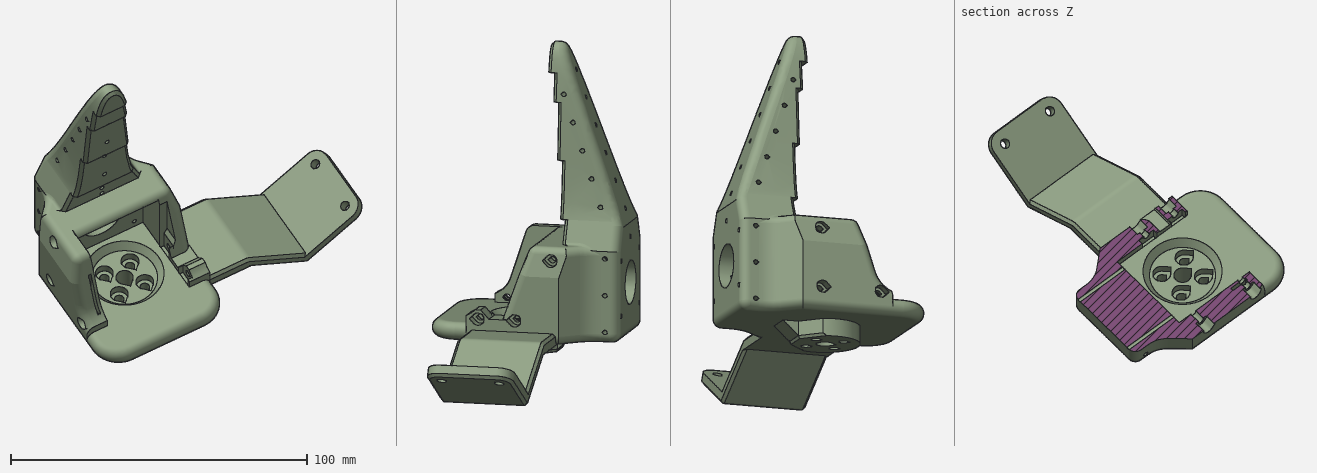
import cadquery as cq
import math

TOLERANCE = 0.01
SELECT_MARGIN = 0.1

FRONT_X = -35.2
REAR_X = 30.0
HALF_WIDTH = 24.0
PLATE_THICKNESS = 6.0
PLATE_CORNER_RADIUS = 10.0
EDGE_RADIUS = 3.0

NECK_HALF_WIDTH = 16.0
FLARE_START_X = FRONT_X + 10.0
FLARE_END_X = FRONT_X + 19.0
FLARE_RADIUS = 10.0

HOUSING_TOP = 33.0
ROOF_THICKNESS = 1.7
CAVITY_TOP = HOUSING_TOP - ROOF_THICKNESS
CAVITY_HALF_WIDTH = 16.0
CAVITY_FRONT_X = FRONT_X + 20.0
WALL_REAR_X = 16.0
TAPER_START_Z = 23.2
TAPER_ANGLE = 15.0
NEAR_REAR_SLOPE = 1.0 / 3.0
FAR_REAR_SLOPE = math.tan(math.radians(20.0))
NEAR_WALL_TOP_X = 4.5
FAR_WALL_TOP_X = -5.3
FOOT_RADIUS = 10.0
FOOT_LOWEST_Z = 8.1
SILL_TOP = 8.0
LUG_FRONT_X = 8.1
LUG_FLAT_FRONT_X = 11.0
LUG_FLAT_REAR_X = 12.9

FIN_TOP = 100.0
FIN_BREAK_Z = 41.0
FIN_BREAK_HALF_WIDTH = 11.8
FIN_SIDE_ANGLE = 24.0
FIN_LEAN_START_Z = 39.0
FIN_LEAN_ANGLE = 20.0
FIN_SHOULDER_PULL = 10.1
FIN_WAIST_POINT = (8.32, 88.3)
FIN_TIP_PULL = 6.02
FIN_STEP_PITCH = (FIN_TOP - FIN_BREAK_Z) / 3.0
FIN_BACK_STEP = 1.73
FIN_TIP_BACK_STEP = 2.1
FIN_STEPS = [
    (FIN_STEP_PITCH, FIN_BACK_STEP),
    (FIN_STEP_PITCH, FIN_BACK_STEP),
    (FIN_STEP_PITCH / 2, FIN_BACK_STEP),
    (FIN_STEP_PITCH / 2, FIN_TIP_BACK_STEP),
]
FIN_BACK_CHAMFER = 1.1
BLEND_RADIUS = 1.5
SHOULDER_SLOPE = math.tan(math.radians(FIN_SIDE_ANGLE))
SHOULDER_Z = FIN_BREAK_Z - (NECK_HALF_WIDTH - FIN_BREAK_HALF_WIDTH) / SHOULDER_SLOPE

THREAD_HOLE_DIAMETER = 1.5
THREAD_HOLE_PITCH = 10.0
FACE_HOLE_FIRST_Z = 43.7
FACE_HOLE_COUNT = 6
FACE_HOLE_DEPTH = 30.0
SIDE_HOLE_FIRST = (-27.4, 45.6)
SIDE_HOLE_COUNT = 5
NECK_HOLE_X = -30.3
NECK_HOLE_HEIGHTS = [3.75, 16.4, 29.05]
FRONT_HOLE_HALF_SPACING = 12.65
FRONT_HOLE_HEIGHTS = [8.9, 27.9]
FRONT_TOP_HOLE_Z = 34.0
BORE_DIAMETER = 15.0
BORE_Z = 18.3

WALL_HOLE_DIAMETER = 2.2
WALL_HEAD_DIAMETER = 4.2
WALL_HEAD_DEPTH = 4.0
NEAR_WALL_SCREWS = [(-9.1, 28.7), (-9.1, 7.85), (11.8, 7.85)]
FAR_WALL_TOP_SCREW = (-13.1, 28.7)
FAR_WALL_NUT_SCREWS = [(-0.85, 7.85), (11.95, 7.85)]
NUT_WIDTH = 6.3
NUT_DEPTH = 1.7
NUT_BOTTOM_Z = 4.7
NUT_RAMP_Z = 12.0
NUT_RAMP_RISE = 2.0
NUT_RAMP_DEPTH = 2.9
NEAR_NUT_CENTRE_X = 10.1
NEAR_NUT_START_DEPTH = 1.1
NEAR_NUT_THICKNESS = 1.0

SEAT_TOP_RADIUS = 13.35
SEAT_FLOOR_RADIUS = 11.15
SEAT_FLOOR_Z = 3.5
DISC_CENTRE_DIAMETER = 5.8
DISC_HOLE_DIAMETER = 3.2
DISC_HEAD_DIAMETER = 6.0
DISC_HEAD_DEPTH = 3.0
DISC_HOLE_OFFSET = 5.0
BOSS_RADIUS = 12.0
BOSS_DEPTH = 6.0
BOSS_FLAT_REACH = 15.6
BOSS_WEDGE_HALF_WIDTH = 4.6
BOSS_WEDGE_FRONT_X = -16.5
BOSS_CHAMFER_HEIGHT = 1.0
BOSS_CHAMFER_WIDTH = 0.5

ARM_HALF_WIDTH = 15.0
ARM_THICKNESS = 4.0
ARM_BEND_ANGLE = 30.0
ARM_BEND_Y = 39.9
ARM_VALLEY_Y = 62.55
ARM_TIP_Y = 84.44
ARM_ROOT_Y = 20.0
ARM_CHAMFER = 1.0
ARM_BEND_RADIUS = 4.0
ARM_VALLEY_RADIUS = 2.0
ARM_CORNER_RADIUS = 5.0
ARM_HOLE_DIAMETER = 3.2
ARM_HOLE_HALF_SPACING = 10.0
ARM_HOLE_FROM_TIP = 4.9
ARM_HOLE_OVERSHOOT = 1.0
ALONG_LEG_MIN = 0.8


def box(x0, x1, y0, y1, z0, z1):
    return cq.Workplane("XY").box(x1 - x0, y1 - y0, z1 - z0, centered=False).translate((x0, y0, z0))


def teardrop(diameter, length):
    """Prism along +Z from the origin: a round hole with a 45-degree point toward +X."""
    radius = diameter / 2
    tangent = radius * math.sqrt(0.5)
    return (
        cq.Workplane("XY")
        .moveTo(tangent, tangent)
        .threePointArc((-radius, 0), (tangent, -tangent))
        .lineTo(radius * math.sqrt(2), 0)
        .close()
        .extrude(length)
    )


def teardrop_along_y(diameter, x, z, y0, y1):
    return teardrop(diameter, y1 - y0).rotate((0, 0, 0), (1, 0, 0), -90).translate((x, y0, z))


def rod(diameter, start, direction, length):
    cylinder = cq.Solid.makeCylinder(diameter / 2, length, cq.Vector(*start), cq.Vector(*direction))
    return cq.Workplane(cylinder)


def xz_prism(outline, y0, y1):
    """Extrude an outline given in X and Z from y0 to y1."""
    return outline.extrude(-(y1 - y0)).translate((0, y0, 0))


def flared_plan(rear_x):
    """Plan outline of the flare and the housing, ending square at rear_x."""
    flare_angle = math.atan2(HALF_WIDTH - NECK_HALF_WIDTH, FLARE_END_X - FLARE_START_X)
    tangent = FLARE_RADIUS * math.tan(flare_angle / 2)
    arc_start_x = FLARE_START_X - tangent
    arc_end_x = FLARE_START_X + tangent * math.cos(flare_angle)
    arc_end_y = NECK_HALF_WIDTH + tangent * math.sin(flare_angle)
    arc_mid_x = arc_start_x + FLARE_RADIUS * math.sin(flare_angle / 2)
    arc_mid_y = NECK_HALF_WIDTH + FLARE_RADIUS * (1 - math.cos(flare_angle / 2))
    return (
        cq.Workplane("XY")
        .moveTo(arc_start_x, -NECK_HALF_WIDTH)
        .threePointArc((arc_mid_x, -arc_mid_y), (arc_end_x, -arc_end_y))
        .lineTo(FLARE_END_X, -HALF_WIDTH)
        .lineTo(rear_x, -HALF_WIDTH)
        .lineTo(rear_x, HALF_WIDTH)
        .lineTo(FLARE_END_X, HALF_WIDTH)
        .lineTo(arc_end_x, arc_end_y)
        .threePointArc((arc_mid_x, arc_mid_y), (arc_start_x, NECK_HALF_WIDTH))
        .close()
    )


def foot_arc_start_and_centre():
    """Start and centre (X, Z) of the concave arc at the foot of the near wall's rear slope."""
    slope_angle = math.atan(NEAR_REAR_SLOPE)
    centre_z = FOOT_LOWEST_Z + FOOT_RADIUS
    start_z = centre_z - FOOT_RADIUS * math.sin(slope_angle)
    start_x = NEAR_WALL_TOP_X + (HOUSING_TOP - start_z) * NEAR_REAR_SLOPE
    centre_x = start_x + FOOT_RADIUS * math.cos(slope_angle)
    return (start_x, start_z), (centre_x, centre_z)


def foot_arc_z(x):
    centre_x, centre_z = foot_arc_start_and_centre()[1]
    return centre_z - math.sqrt(FOOT_RADIUS**2 - (centre_x - x) ** 2)


def foot_arc_from(outline, start_x):
    """Continue an XZ outline along the foot arc from start_x to the rear end of the wall."""
    mid_x = (start_x + WALL_REAR_X) / 2
    return outline.threePointArc((mid_x, foot_arc_z(mid_x)), (WALL_REAR_X, foot_arc_z(WALL_REAR_X)))


def taper_waste(side):
    """Material outside the inward-leaning upper part of one side wall."""
    width = (HOUSING_TOP - TAPER_START_Z) * math.tan(math.radians(TAPER_ANGLE))
    return (
        cq.Workplane("YZ")
        .moveTo(side * HALF_WIDTH, TAPER_START_Z)
        .lineTo(side * (HALF_WIDTH - width), HOUSING_TOP)
        .lineTo(side * HALF_WIDTH, HOUSING_TOP)
        .close()
        .extrude(WALL_REAR_X - FRONT_X)
        .translate((FRONT_X, 0, 0))
    )


def housing_block():
    """Solid housing with its tapered sides, sloped rear and rounded top edges."""
    block = flared_plan(WALL_REAR_X).extrude(HOUSING_TOP)
    for side in (-1, 1):
        block = block.cut(taper_waste(side))

    arc_start = foot_arc_start_and_centre()[0]
    near_cut = cq.Workplane("XZ").moveTo(NEAR_WALL_TOP_X, HOUSING_TOP).lineTo(*arc_start)
    near_cut = foot_arc_from(near_cut, arc_start[0]).lineTo(WALL_REAR_X, HOUSING_TOP).close()
    block = block.cut(xz_prism(near_cut, -HALF_WIDTH, -CAVITY_HALF_WIDTH))

    far_foot_x = FAR_WALL_TOP_X + (HOUSING_TOP - PLATE_THICKNESS) * FAR_REAR_SLOPE
    far_cut = (
        cq.Workplane("XZ")
        .moveTo(FAR_WALL_TOP_X, HOUSING_TOP)
        .lineTo(far_foot_x, PLATE_THICKNESS)
        .lineTo(WALL_REAR_X, PLATE_THICKNESS)
        .lineTo(WALL_REAR_X, HOUSING_TOP)
        .close()
    )
    block = block.cut(xz_prism(far_cut, -CAVITY_HALF_WIDTH, HALF_WIDTH))

    def is_rounded(edge):
        centre = edge.Center()
        bounds = edge.BoundingBox()
        if bounds.zmin > HOUSING_TOP - TOLERANCE:
            along_cavity = abs(centre.y + CAVITY_HALF_WIDTH) < TOLERANCE
            across_front = bounds.xmax < FLARE_START_X - SELECT_MARGIN and abs(centre.y) < 1
            return not along_cavity and not across_front
        return (
            bounds.zmin > PLATE_THICKNESS - TOLERANCE
            and bounds.xmin > FAR_WALL_TOP_X - SELECT_MARGIN
            and min(bounds.xlen, bounds.zlen) > EDGE_RADIUS / 4
            and abs(centre.y) > CAVITY_HALF_WIDTH + EDGE_RADIUS
        )

    edges = [edge for edge in block.edges().vals() if is_rounded(edge)]
    return block.newObject(edges).fillet(EDGE_RADIUS)


def far_wall_foot():
    """Sill and screw lug at the foot of the far wall."""
    lug_top = foot_arc_z(LUG_FLAT_REAR_X)
    outline = (
        cq.Workplane("XZ")
        .moveTo(FAR_WALL_TOP_X, EDGE_RADIUS)
        .lineTo(FAR_WALL_TOP_X, SILL_TOP)
        .lineTo(LUG_FRONT_X, SILL_TOP)
        .lineTo(LUG_FLAT_FRONT_X, lug_top)
        .lineTo(LUG_FLAT_REAR_X, lug_top)
    )
    outline = foot_arc_from(outline, LUG_FLAT_REAR_X).lineTo(WALL_REAR_X, EDGE_RADIUS).close()
    return xz_prism(outline, CAVITY_HALF_WIDTH, HALF_WIDTH)


def plate():
    """Rear part of the base plate with a half-round rim."""
    radius = PLATE_THICKNESS / 2
    path_y = HALF_WIDTH - radius
    path_x = REAR_X - radius
    corner = PLATE_CORNER_RADIUS - radius
    slab = box(WALL_REAR_X, path_x, -path_y, path_y, 0, PLATE_THICKNESS)
    slab = slab.edges("|Z and >X").fillet(corner)
    path = (
        cq.Workplane("XY")
        .moveTo(WALL_REAR_X, -path_y)
        .lineTo(path_x - corner, -path_y)
        .tangentArcPoint((path_x, corner - path_y), relative=False)
        .lineTo(path_x, path_y - corner)
        .tangentArcPoint((path_x - corner, path_y), relative=False)
        .lineTo(WALL_REAR_X, path_y)
    )
    rim = (
        cq.Workplane("YZ", origin=(WALL_REAR_X, 0, 0))
        .moveTo(-path_y, 0)
        .threePointArc((-HALF_WIDTH, radius), (-path_y, PLATE_THICKNESS))
        .close()
        .sweep(path)
    )
    return slab.union(rim)


def fin_outline():
    """Front outline in Y and Z: vertical sides, sloped shoulders and the pointed fin."""
    shoulder_angle = math.radians(FIN_SIDE_ANGLE)
    shoulder_z = FIN_BREAK_Z - (HALF_WIDTH - FIN_BREAK_HALF_WIDTH) / SHOULDER_SLOPE
    pull_y = FIN_BREAK_HALF_WIDTH - FIN_SHOULDER_PULL * math.sin(shoulder_angle)
    pull_z = FIN_BREAK_Z + FIN_SHOULDER_PULL * math.cos(shoulder_angle)
    left_curve = [
        (FIN_BREAK_HALF_WIDTH, FIN_BREAK_Z),
        (pull_y, pull_z),
        FIN_WAIST_POINT,
        (FIN_TIP_PULL, FIN_TOP),
        (0, FIN_TOP),
    ]
    right_curve = [(-y, z) for y, z in reversed(left_curve)]
    return (
        cq.Workplane("YZ")
        .moveTo(-HALF_WIDTH, 0)
        .lineTo(HALF_WIDTH, 0)
        .lineTo(HALF_WIDTH, shoulder_z)
        .lineTo(FIN_BREAK_HALF_WIDTH, FIN_BREAK_Z)
        .bezier(left_curve)
        .bezier(right_curve)
        .lineTo(-HALF_WIDTH, shoulder_z)
        .close()
    )


def lean_x(z):
    """X of the leaning front face at height z."""
    return FRONT_X + (z - FIN_LEAN_START_Z) * math.tan(math.radians(FIN_LEAN_ANGLE))


def leaning_fin(back_x):
    """Fin outline behind the leaning front face, with that face's rim rounded."""
    column = fin_outline().extrude(back_x - lean_x(0)).translate((lean_x(0), 0, 0))
    lean = (
        cq.Workplane("XZ")
        .moveTo(lean_x(0), 0)
        .lineTo(lean_x(2 * FIN_TOP), 2 * FIN_TOP)
        .lineTo(lean_x(0), 2 * FIN_TOP)
        .close()
    )
    column = column.cut(xz_prism(lean, -HALF_WIDTH, HALF_WIDTH))

    def is_rim(edge):
        points = (edge.startPoint(), edge.endPoint(), edge.positionAt(0.5))
        on_lean = all(abs(p.x - lean_x(p.z)) < TOLERANCE for p in points)
        return on_lean and edge.Center().z > FIN_BREAK_Z / 2

    rim = [edge for edge in column.edges().vals() if is_rim(edge)]
    return column.newObject(rim).fillet(EDGE_RADIUS)


def neck():
    """Straight front post under the leaning fin, with a rounded front rim and a chamfered back."""
    post = (
        cq.Workplane("YZ")
        .moveTo(-NECK_HALF_WIDTH, 0)
        .lineTo(NECK_HALF_WIDTH, 0)
        .lineTo(NECK_HALF_WIDTH, SHOULDER_Z)
        .lineTo(FIN_BREAK_HALF_WIDTH, FIN_BREAK_Z)
        .lineTo(-FIN_BREAK_HALF_WIDTH, FIN_BREAK_Z)
        .lineTo(-NECK_HALF_WIDTH, SHOULDER_Z)
        .close()
        .extrude(CAVITY_FRONT_X - FRONT_X)
        .translate((FRONT_X, 0, 0))
    )
    post = post.faces("<X").edges("not |Y").fillet(EDGE_RADIUS)
    return post.faces(">X").edges("not |Y").chamfer(FIN_BACK_CHAMFER)


def fin():
    """Neck and leaning fin; the fin's back steps rearward as it rises."""
    back_x = CAVITY_FRONT_X
    rear_x = back_x + sum(back_step for _, back_step in FIN_STEPS)
    blade = leaning_fin(rear_x)
    blade = blade.cut(box(lean_x(0), rear_x, -HALF_WIDTH, HALF_WIDTH, 0, FIN_BREAK_Z))
    bottom = FIN_BREAK_Z
    for height, back_step in FIN_STEPS:
        back_x += back_step
        top = bottom + height
        if back_x < rear_x - TOLERANCE:
            blade = blade.cut(box(back_x, rear_x, -HALF_WIDTH, HALF_WIDTH, bottom, top))
        rim = cq.selectors.BoxSelector(
            (back_x - SELECT_MARGIN, -HALF_WIDTH, bottom + SELECT_MARGIN),
            (back_x + SELECT_MARGIN, HALF_WIDTH, top + SELECT_MARGIN),
        )
        blade = blade.edges(rim).edges("not |Y").chamfer(FIN_BACK_CHAMFER)
        bottom = top
    foot = neck().intersect(leaning_fin(rear_x))
    return foot.union(blade)


def blend_shoulders(body):
    """Round the inside corner between the neck's sloped shoulders and the roof."""
    shoulder_y = FIN_BREAK_HALF_WIDTH + (FIN_BREAK_Z - HOUSING_TOP) * SHOULDER_SLOPE

    def is_inside_corner(edge):
        centre = edge.Center()
        return abs(centre.z - HOUSING_TOP) < TOLERANCE and abs(abs(centre.y) - shoulder_y) < TOLERANCE

    edges = [edge for edge in body.edges().vals() if is_inside_corner(edge)]
    return body.newObject(edges).fillet(BLEND_RADIUS)


def shell():
    """Neck, fin, housing, far wall foot and plate, rounded underneath and opened by the cavity."""
    body = blend_shoulders(fin().union(housing_block()))
    body = body.faces("<Z").edges("not >X").fillet(EDGE_RADIUS)
    body = body.union(plate()).union(far_wall_foot())
    cavity = box(
        CAVITY_FRONT_X,
        WALL_REAR_X,
        -CAVITY_HALF_WIDTH,
        CAVITY_HALF_WIDTH,
        PLATE_THICKNESS,
        CAVITY_TOP,
    )
    return body.cut(cavity)


def arm_point(y, z, along, across):
    """Point offset along the rising arm leg and across it (down through its thickness)."""
    bend = math.radians(ARM_BEND_ANGLE)
    return (
        y + along * math.cos(bend) + across * math.sin(bend),
        z + along * math.sin(bend) - across * math.cos(bend),
    )


def arm():
    """Flat strip bent down and back up, with two holes at its tip."""
    bend = math.radians(ARM_BEND_ANGLE)
    valley_z = ARM_THICKNESS - (ARM_VALLEY_Y - ARM_BEND_Y) * math.tan(bend)
    valley_bottom_z = valley_z - ARM_THICKNESS / math.cos(bend)
    tip_z = valley_z + (ARM_TIP_Y - ARM_VALLEY_Y) * math.tan(bend)
    bend_bottom_y = ARM_BEND_Y - ARM_THICKNESS * math.tan(bend / 2)
    strip = (
        cq.Workplane("YZ")
        .moveTo(ARM_ROOT_Y, 0)
        .lineTo(bend_bottom_y, 0)
        .lineTo(ARM_VALLEY_Y, valley_bottom_z)
        .lineTo(*arm_point(ARM_TIP_Y, tip_z, 0, ARM_THICKNESS))
        .lineTo(ARM_TIP_Y, tip_z)
        .lineTo(ARM_VALLEY_Y, valley_z)
        .lineTo(ARM_BEND_Y, ARM_THICKNESS)
        .lineTo(ARM_ROOT_Y, ARM_THICKNESS)
        .close()
        .extrude(2 * ARM_HALF_WIDTH)
        .translate((-ARM_HALF_WIDTH, 0, 0))
    )

    def edges_near(y, z):
        reach_x = ARM_HALF_WIDTH + 1
        return cq.selectors.BoxSelector(
            (-reach_x, y - SELECT_MARGIN, z - SELECT_MARGIN),
            (reach_x, y + SELECT_MARGIN, z + SELECT_MARGIN),
        )

    strip = strip.edges(edges_near(ARM_BEND_Y, ARM_THICKNESS)).fillet(ARM_BEND_RADIUS)
    strip = strip.edges(edges_near(ARM_VALLEY_Y, valley_bottom_z)).fillet(ARM_VALLEY_RADIUS)
    tip_corners = edges_near(*arm_point(ARM_TIP_Y, tip_z, 0, ARM_THICKNESS / 2))
    strip = strip.edges(tip_corners).edges("not |X").fillet(ARM_CORNER_RADIUS)

    def leg_middle_z(y):
        half = ARM_THICKNESS / 2
        bent_leg = valley_z - half / math.cos(bend) + abs(y - ARM_VALLEY_Y) * math.tan(bend)
        return bent_leg if y > ARM_VALLEY_Y else min(half, bent_leg)

    def is_chamfered(edge):
        centre = edge.Center()
        middle_z = leg_middle_z(centre.y)
        on_side = edge.BoundingBox().xlen < TOLERANCE and abs(centre.x) > ARM_HALF_WIDTH - TOLERANCE
        on_top = centre.y < ARM_VALLEY_Y - ARM_VALLEY_RADIUS and centre.z > middle_z + SELECT_MARGIN
        below = centre.y > bend_bottom_y + 1 and centre.z < middle_z - SELECT_MARGIN
        along_leg = edge.geomType() != "LINE" or abs(edge.tangentAt(0).y) > ALONG_LEG_MIN
        around_tip = not on_side and below and centre.y > ARM_VALLEY_Y + ARM_VALLEY_RADIUS
        return (on_side and along_leg and (on_top or below)) or around_tip

    edges = [edge for edge in strip.edges().vals() if is_chamfered(edge)]
    strip = strip.newObject(edges).chamfer(ARM_CHAMFER)

    hole_y, hole_z = arm_point(ARM_TIP_Y, tip_z, -ARM_HOLE_FROM_TIP, -ARM_HOLE_OVERSHOOT)
    down = (0, math.sin(bend), -math.cos(bend))
    hole_length = ARM_THICKNESS + 2 * ARM_HOLE_OVERSHOOT
    for x in (-ARM_HOLE_HALF_SPACING, ARM_HOLE_HALF_SPACING):
        strip = strip.cut(rod(ARM_HOLE_DIAMETER, (x, hole_y, hole_z), down, hole_length))
    return strip


def boss():
    """Round boss under the plate, flattened at 45 degrees in front, with a supporting wedge."""
    round_part = cq.Workplane("XY").circle(BOSS_RADIUS).extrude(-BOSS_DEPTH)
    flat_x = BOSS_FLAT_REACH - BOSS_WEDGE_HALF_WIDTH
    corners = [
        (-flat_x, -BOSS_WEDGE_HALF_WIDTH),
        (0, -BOSS_FLAT_REACH),
        (BOSS_FLAT_REACH, -BOSS_FLAT_REACH),
        (BOSS_FLAT_REACH, BOSS_FLAT_REACH),
        (0, BOSS_FLAT_REACH),
        (-flat_x, BOSS_WEDGE_HALF_WIDTH),
    ]
    envelope = cq.Workplane("XY").polyline(corners).close().extrude(-BOSS_DEPTH)
    envelope = envelope.faces("<Z").edges("<X or (not (|X or |Y))").chamfer(
        BOSS_CHAMFER_HEIGHT, BOSS_CHAMFER_WIDTH
    )
    wedge = (
        cq.Workplane("XZ")
        .moveTo(BOSS_WEDGE_FRONT_X, 0)
        .lineTo(-flat_x, -(BOSS_DEPTH - BOSS_CHAMFER_HEIGHT))
        .lineTo(-flat_x, 0)
        .close()
    )
    wedge = xz_prism(wedge, -BOSS_WEDGE_HALF_WIDTH, BOSS_WEDGE_HALF_WIDTH)
    return round_part.intersect(envelope).union(wedge)


def cut_disc_seat(body):
    """Conical seat in the plate with a centre hole and four screw holes through the boss."""
    seat = (
        cq.Workplane("XY")
        .workplane(offset=SEAT_FLOOR_Z)
        .circle(SEAT_FLOOR_RADIUS)
        .workplane(offset=PLATE_THICKNESS - SEAT_FLOOR_Z)
        .circle(SEAT_TOP_RADIUS)
        .loft()
    )
    body = body.cut(seat)
    through = SEAT_FLOOR_Z + BOSS_DEPTH
    body = body.cut(teardrop(DISC_CENTRE_DIAMETER, through).translate((0, 0, -BOSS_DEPTH)))
    for x in (-DISC_HOLE_OFFSET, DISC_HOLE_OFFSET):
        for y in (-DISC_HOLE_OFFSET, DISC_HOLE_OFFSET):
            hole = teardrop(DISC_HOLE_DIAMETER, through).translate((x, y, -BOSS_DEPTH))
            head = teardrop(DISC_HEAD_DIAMETER, DISC_HEAD_DEPTH)
            body = body.cut(hole).cut(head.translate((x, y, SEAT_FLOOR_Z - DISC_HEAD_DEPTH)))
    return body


def cut_thread_holes(body):
    """Small holes in the fin, the neck sides and the front face, and the large front bore."""
    lean = math.radians(FIN_LEAN_ANGLE)
    inward = (math.cos(lean), 0, -math.sin(lean))
    for i in range(FACE_HOLE_COUNT):
        z = FACE_HOLE_FIRST_Z + i * THREAD_HOLE_PITCH * math.cos(lean)
        start = (lean_x(z) - inward[0], 0, z - inward[2])
        body = body.cut(rod(THREAD_HOLE_DIAMETER, start, inward, FACE_HOLE_DEPTH))

    side_holes = [(NECK_HOLE_X, z) for z in NECK_HOLE_HEIGHTS]
    for i in range(SIDE_HOLE_COUNT):
        x = SIDE_HOLE_FIRST[0] + i * THREAD_HOLE_PITCH * math.sin(lean)
        z = SIDE_HOLE_FIRST[1] + i * THREAD_HOLE_PITCH * math.cos(lean)
        side_holes.append((x, z))
    for x, z in side_holes:
        body = body.cut(teardrop_along_y(THREAD_HOLE_DIAMETER, x, z, -HALF_WIDTH, HALF_WIDTH))

    front_holes = [(0, FRONT_TOP_HOLE_Z)]
    for y in (-FRONT_HOLE_HALF_SPACING, FRONT_HOLE_HALF_SPACING):
        front_holes += [(y, z) for z in FRONT_HOLE_HEIGHTS]
    wall = CAVITY_FRONT_X - FRONT_X
    for y, z in front_holes:
        body = body.cut(rod(THREAD_HOLE_DIAMETER, (FRONT_X, y, z), (1, 0, 0), wall))
    return body.cut(rod(BORE_DIAMETER, (FRONT_X, 0, BORE_Z), (1, 0, 0), wall))


def far_nut_pocket(centre_x):
    """Nut pocket in the far wall's inner face, widening upward over a short ramp."""
    nut_y = CAVITY_HALF_WIDTH + NUT_DEPTH
    ramp_y = CAVITY_HALF_WIDTH + NUT_RAMP_DEPTH
    return (
        cq.Workplane("YZ")
        .moveTo(CAVITY_HALF_WIDTH, NUT_BOTTOM_Z)
        .lineTo(nut_y, NUT_BOTTOM_Z)
        .lineTo(nut_y, NUT_RAMP_Z)
        .lineTo(ramp_y, NUT_RAMP_Z + NUT_RAMP_RISE)
        .lineTo(ramp_y, CAVITY_TOP)
        .lineTo(CAVITY_HALF_WIDTH, CAVITY_TOP)
        .close()
        .extrude(NUT_WIDTH)
        .translate((centre_x - NUT_WIDTH / 2, 0, 0))
    )


def cut_wall_screws(body):
    """Counterbored screw holes through both walls, with nut pockets inside."""
    head_y = HALF_WIDTH - WALL_HEAD_DEPTH
    for x, z in NEAR_WALL_SCREWS:
        body = body.cut(teardrop_along_y(WALL_HOLE_DIAMETER, x, z, -HALF_WIDTH, -CAVITY_HALF_WIDTH))
        body = body.cut(teardrop_along_y(WALL_HEAD_DIAMETER, x, z, -HALF_WIDTH, -head_y))
    for x, z in [FAR_WALL_TOP_SCREW] + FAR_WALL_NUT_SCREWS:
        body = body.cut(teardrop_along_y(WALL_HOLE_DIAMETER, x, z, CAVITY_HALF_WIDTH, HALF_WIDTH))
        body = body.cut(teardrop_along_y(WALL_HEAD_DIAMETER, x, z, head_y, HALF_WIDTH))
    for x, _ in FAR_WALL_NUT_SCREWS:
        body = body.cut(far_nut_pocket(x))
    slot_y = -CAVITY_HALF_WIDTH - NEAR_NUT_START_DEPTH
    slot = box(
        NEAR_NUT_CENTRE_X - NUT_WIDTH / 2,
        NEAR_NUT_CENTRE_X + NUT_WIDTH / 2,
        slot_y - NEAR_NUT_THICKNESS,
        slot_y,
        NUT_BOTTOM_Z,
        CAVITY_TOP,
    )
    return body.cut(slot)


body = shell().union(arm()).union(boss())
body = cut_disc_seat(body)
body = cut_thread_holes(body)
result = cut_wall_screws(body)